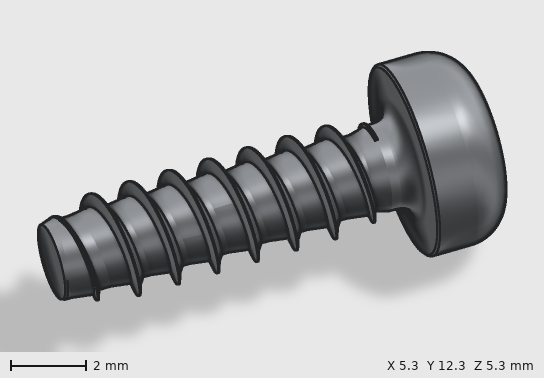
import cadquery as cq
import math


length = 12.3
head_radius = 5.3 / 2
head_height = 2.3
dome_radius = 1.16
rim_chamfer = 0.06
neck_radius = 1.18
neck_fillet = 0.48
neck_end = 3.04

core_radius = 1.06
neck_taper_length = 0.47
tip_radius = 1.03
tip_taper_length = 0.74
tip_taper_radius = 1.28
tip_chamfer_width = 0.06
tip_chamfer_height = 0.01
tip_cone_height = 0.02
tip_overrun = 0.37

crest_radius = 1.5
crest_width = 0.04
flank_angle = 15.0
flare_start = -0.25
flare_end = -0.12
flare_radius = 1.23
ramp_start = 0.04
ramp_end = 0.68
ramp_radius = 1.15
embed = 0.01

thread_start = 3.09
start_crest_radius = 1.27
run_in_turns = 1.0
full_turns = 5.8
run_out_turns = 1.5
length_to_run_out = 7.59
start_angle = 180.0

lead_in_radius = 1.24
lead_in_angle = 90.0
lead_in_rise = 0.04

pitch = length_to_run_out / (run_in_turns + full_turns)
full_start = thread_start + run_in_turns * pitch
run_out_start = thread_start + length_to_run_out


def crest_angle(z):
    """Angle about the axis, in degrees, at which the crest passes height z."""
    return start_angle + 360.0 * (z - thread_start) / pitch


def course_edge(start, end, dr, dz):
    """Helical edge between two stations of a course, moved by dr outwards and dz along the axis."""
    z_start, angle_start, r_start = start
    z_end, angle_end, r_end = end
    rise = z_end - z_start
    turns = (angle_end - angle_start) / 360.0
    change = r_end - r_start
    if change == 0:
        edge = cq.Wire.makeHelix(rise / turns, rise, r_start + dr)
    else:
        slant = math.atan(abs(change) / rise)
        slant_rise = rise / math.cos(slant)
        edge = cq.Wire.makeHelix(
            slant_rise / turns, slant_rise, min(r_start, r_end) + dr, angle=math.degrees(slant)
        )
    if change < 0:
        edge = edge.rotate(cq.Vector(0, 0, 0), cq.Vector(1, 0, 0), 180).translate(cq.Vector(0, 0, rise))
        angle_start = angle_end
    edge = edge.rotate(cq.Vector(0, 0, 0), cq.Vector(0, 0, 1), angle_start)
    return edge.translate(cq.Vector(0, 0, z_start + dz)).Edges()[0]


def end_cap(station, section):
    """Flat face that closes a helical solid, in the plane through the axis at the station."""
    z, angle, r = station
    turn = math.radians(angle)
    corners = [
        cq.Vector((r + dr) * math.cos(turn), (r + dr) * math.sin(turn), z + dz) for dr, dz in section
    ]
    return cq.Face.makeFromWires(cq.Wire.makePolygon(corners, close=True))


def split_course(course):
    """Add stations so that no stretch of the course is longer than one turn."""
    stations = [course[0]]
    for start, end in zip(course, course[1:]):
        steps = math.ceil((end[1] - start[1]) / 360.0)
        for step in range(1, steps + 1):
            share = step / steps
            stations.append(tuple(first + (last - first) * share for first, last in zip(start, end)))
    return stations


def helical_solid(course, section):
    """Carry a closed section of (dr, dz) corners along a course of (z, angle, radius) stations."""
    faces = [end_cap(course[0], section), end_cap(course[-1], section)]
    stations = split_course(course)
    for start, end in zip(stations, stations[1:]):
        edges = [course_edge(start, end, dr, dz) for dr, dz in section]
        for edge, next_edge in zip(edges, edges[1:] + edges[:1]):
            faces.append(cq.Face.makeRuledSurface(edge, next_edge))
    shell = cq.Shell.makeShell(faces)
    return cq.Workplane(obj=cq.Solid.makeSolid(shell).fix())


def tooth():
    """Thread ridge, flared at its head-side foot, that rises out of the neck and sinks into the tip."""
    half_crest = crest_width / 2
    depth = crest_radius - core_radius + embed
    half_root = half_crest + depth * math.tan(math.radians(flank_angle))
    flare_slope = (flare_radius - core_radius) / (flare_end - flare_start)
    section = [
        (-depth, flare_start - embed / flare_slope),
        (flare_radius - crest_radius, flare_end),
        (0, -half_crest),
        (0, half_crest),
        (-depth, half_root),
    ]
    run_out_end = run_out_start + run_out_turns * pitch
    course = [
        (thread_start - lead_in_rise, start_angle - lead_in_angle, lead_in_radius),
        (thread_start, start_angle, start_crest_radius),
        (full_start, crest_angle(full_start), crest_radius),
        (run_out_start, crest_angle(run_out_start), crest_radius),
        (run_out_end, crest_angle(run_out_end), tip_radius),
    ]
    return helical_solid(course, section)


def core_ramp():
    """Helical ramp on the core that slopes down from each thread turn towards the tip."""
    rise = ramp_radius - core_radius
    slope = rise / (ramp_end - ramp_start)
    section = [
        (-embed, ramp_start),
        (rise, ramp_start),
        (-embed, ramp_end + embed / slope),
    ]
    course = [(z, crest_angle(z), core_radius) for z in (thread_start, length)]
    return helical_solid(course, section)


def head_and_core():
    """Turned body: domed head, filleted neck and plain core, overrunning the tip."""
    arc = math.sqrt(0.5)
    dome_centre_r = head_radius - dome_radius
    fillet_centre_r = neck_radius + neck_fillet
    fillet_end = head_height + neck_fillet
    return (
        cq.Workplane("XZ")
        .moveTo(0, 0)
        .lineTo(dome_centre_r, 0)
        .threePointArc(
            (dome_centre_r + arc * dome_radius, dome_radius - arc * dome_radius),
            (head_radius, dome_radius),
        )
        .lineTo(head_radius, head_height - rim_chamfer)
        .lineTo(head_radius - rim_chamfer, head_height)
        .lineTo(fillet_centre_r, head_height)
        .threePointArc(
            (fillet_centre_r - arc * neck_fillet, fillet_end - arc * neck_fillet),
            (neck_radius, fillet_end),
        )
        .lineTo(neck_radius, neck_end)
        .lineTo(core_radius, neck_end + neck_taper_length)
        .lineTo(core_radius, length + tip_overrun)
        .lineTo(0, length + tip_overrun)
        .close()
        .revolve(360, (0, 0, 0), (0, 1, 0))
    )


def tip_envelope():
    """Everything inside the tapered, shallowly pointed tip."""
    cone_base = length - tip_cone_height
    taper_end = cone_base - tip_chamfer_height
    taper_start = taper_end - tip_taper_length
    return (
        cq.Workplane("XZ")
        .moveTo(0, 0)
        .lineTo(head_radius, 0)
        .lineTo(head_radius, taper_start)
        .lineTo(tip_taper_radius, taper_start)
        .lineTo(tip_radius, taper_end)
        .lineTo(tip_radius - tip_chamfer_width, cone_base)
        .lineTo(0, length)
        .close()
        .revolve(360, (0, 0, 0), (0, 1, 0))
    )


screw = head_and_core().union(core_ramp()).union(tooth()).intersect(tip_envelope())

result = screw.rotate((0, 0, 0), (1, 0, 0), 90).solids()